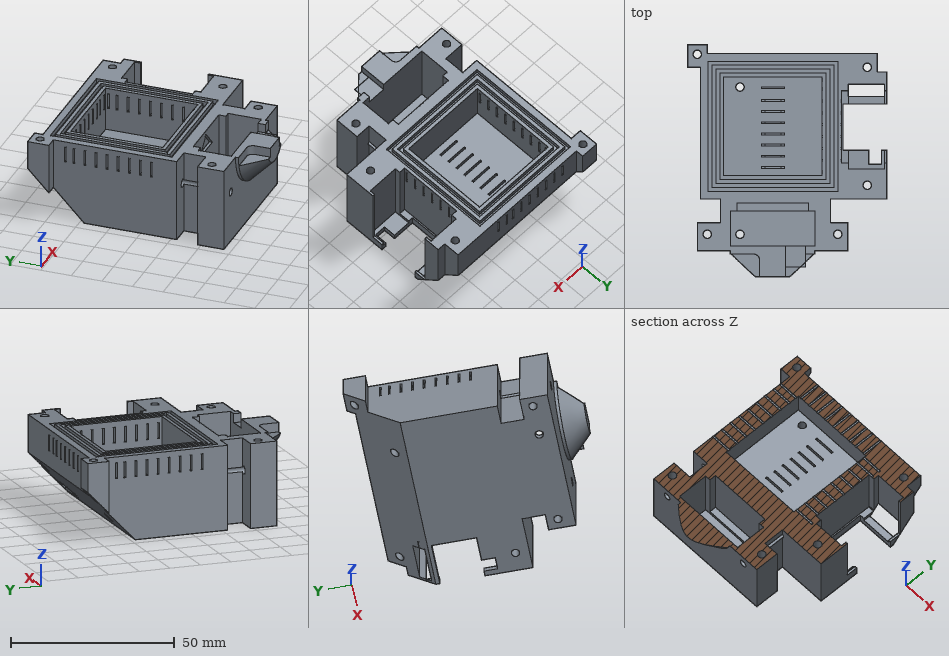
import cadquery as cq

length_x = 61.0
length_y = 71.0
height = 27.0

screw_d = 2.5

body_left = 3.9
body_front = 23.7
body_rear = 68.3
rear_step_x = 58.1
rear_step_y = 62.6
tab_right = 6.1
tab_front = 64.05
neck_left = 10.0
neck_right = 43.75
flange_left = 3.0
flange_right = 49.05
flange_front = 7.95
flange_rear = 16.55
bevel_start_y = 53.95
bevel_end_z = 17.75

chamber_x = 26.1
chamber_y = 46.0
chamber_size = 30.1
chamber_floor = 12.8
ridge_step = 1.2
groove_depth = 1.5

vent_width = 0.6
wall_vent_pitch = 3.6
side_vent_end = 48.3
side_vent_single_y = 60.15
side_vent_row_y = 32.0
side_vent_row_count = 8
rear_vent_pair_x = 36.6
rear_vent_pair_count = 2
rear_vent_row_x = 12.15
rear_vent_row_count = 7
wall_vent_height = 5.0
wall_vent_z = 22.6
floor_vent_pitch = 3.4
floor_vent_single_y = 57.8
floor_vent_row_y = 33.45
floor_vent_row_count = 7
floor_vent_length = 7.1
floor_vent_inner_length = 5.0
floor_vent_depth = 2.0

pocket_left = 13.2
pocket_right = 39.0
pocket_front = 9.4
pocket_rear = 20.15
recess_left = 15.1
recess_right = 37.05
recess_rear = 22.5
recess_floor = 3.0
floor_thickness = 2.0
triangle_base_z = 20.3
triangle_half_width = 5.3
triangle_depth = 1.0

bay_left = 47.1
bay_front = 34.85
bay_rear = 56.95
bay_floor = 3.0
guide_left = 49.2
guide_right = 60.2
guide_front = 33.0
guide_rear = 58.85
window_left = 47.6
window_front = 38.7
window_rear = 52.75
rear_opening_front = 55.2
notch_left = 55.45
notch_right = 59.3
notch_front = 34.4

plug_x = 26.0
plug_radius = 13.0
plug_tip_radius = 6.0
plug_cone_y = 6.95
bridge_left = 22.1
bridge_right = 29.95
shoulder_z = 24.0
shoulder_fillet = 2.0
gap_right = 36.15
gap_front = 3.0
ledge_thickness = 0.15

vertical_holes = [
    (3.0, 68.0),
    (54.95, 64.05),
    (54.95, 28.0),
    (6.0, 13.0),
    (45.95, 13.0),
    (16.05, 13.0),
    (16.05, 58.0),
]
front_hole_x = [9.0, 42.95]
front_hole_z = 17.0
front_hole_depth_in_body = 7.1


def block(x0, x1, y0, y1, z0, z1):
    """Box between two corners, given as limits along each axis."""
    return cq.Workplane("XY").box(x1 - x0, y1 - y0, z1 - z0, centered=False).translate((x0, y0, z0))


def square_prism(size, z0):
    """Square prism on the chamber axis, from z0 up to the top face."""
    return (
        cq.Workplane("XY", origin=(chamber_x, chamber_y, z0))
        .rect(size, size)
        .extrude(height - z0)
    )


def make_housing():
    body = block(body_left, length_x, body_front, body_rear, 0, height)
    body = body.cut(block(rear_step_x, length_x, rear_step_y, body_rear, 0, height))
    tab = block(0, tab_right, tab_front, length_y, 0, height)
    neck = block(neck_left, neck_right, flange_rear, body_front, 0, height)
    flange = block(flange_left, flange_right, flange_front, flange_rear, 0, height)
    bevel = (
        cq.Workplane("YZ")
        .polyline([(bevel_start_y, 0), (length_y, 0), (length_y, bevel_end_z)])
        .close()
        .extrude(length_x)
    )
    return body.union(tab).union(neck).union(flange).cut(bevel)


def make_plug():
    """Half of a stepped cone around Y, with lowered shoulders beside a central bridge."""
    profile = [
        (0, 0),
        (plug_tip_radius, 0),
        (plug_radius, plug_cone_y),
        (plug_radius, flange_front),
        (0, flange_front),
    ]
    cone = cq.Workplane("XY").polyline(profile).close().revolve(360, (0, 0, 0), (0, 1, 0))
    cone = cone.translate((plug_x, 0, height))
    lower_half = block(0, length_x, 0, flange_front, 0, height)
    plug = cone.intersect(lower_half)
    left = block(plug_x - plug_radius, bridge_left, 0, plug_cone_y, shoulder_z, height)
    right = block(bridge_right, plug_x + plug_radius, 0, plug_cone_y, shoulder_z, height)
    plug = plug.cut(left.edges("|Z and >X and >Y").fillet(shoulder_fillet))
    return plug.cut(right.edges("|Z and <X and >Y").fillet(shoulder_fillet))


def cut_gap(part):
    """Opening from the right shoulder through the rim into the pocket, over a thin ledge."""
    part = part.cut(block(bridge_right, gap_right, gap_front, pocket_front, shoulder_z, height))
    ledge_top = shoulder_z + ledge_thickness
    return part.union(block(bridge_right, gap_right, gap_front, pocket_front, shoulder_z, ledge_top))


def cut_chamber(part):
    part = part.cut(square_prism(chamber_size, chamber_floor))
    groove_floor = height - groove_depth
    for ridge_steps in (1, 3):
        inner = chamber_size + 2 * ridge_step * ridge_steps
        outer = inner + 2 * ridge_step
        part = part.cut(square_prism(outer, groove_floor).cut(square_prism(inner, groove_floor)))
    return part


def spaced(start, count, pitch):
    """Evenly spaced positions along one axis."""
    return [start + i * pitch for i in range(count)]


def cut_wall_vents(part):
    """Upright slots through the left, right and rear chamber walls."""
    z0 = wall_vent_z - wall_vent_height / 2
    z1 = wall_vent_z + wall_vent_height / 2
    half = vent_width / 2
    for y in spaced(side_vent_row_y, side_vent_row_count, wall_vent_pitch) + [side_vent_single_y]:
        part = part.cut(block(0, side_vent_end, y - half, y + half, z0, z1))
    rear_row = spaced(rear_vent_row_x, rear_vent_row_count, wall_vent_pitch)
    rear_pair = spaced(rear_vent_pair_x, rear_vent_pair_count, wall_vent_pitch)
    for x in rear_row + rear_pair:
        part = part.cut(block(x - half, x + half, chamber_y, length_y, z0, z1))
    return part


def floor_slot(length, y, top_z):
    """One floor slot, lying along X, cut down from top_z."""
    half = vent_width / 2
    left = chamber_x - length / 2
    right = chamber_x + length / 2
    return block(left, right, y - half, y + half, top_z - floor_vent_depth, top_z)


def cut_floor_vents(part):
    """Blind slots in the chamber floor; those of the row have a shorter lower step."""
    part = part.cut(floor_slot(floor_vent_length, floor_vent_single_y, chamber_floor))
    for y in spaced(floor_vent_row_y, floor_vent_row_count, floor_vent_pitch):
        part = part.cut(floor_slot(floor_vent_length, y, chamber_floor))
        part = part.cut(floor_slot(floor_vent_inner_length, y, chamber_floor - floor_vent_depth))
    return part


def cut_pocket(part):
    part = part.cut(block(pocket_left, pocket_right, pocket_front, pocket_rear, floor_thickness, height))
    part = part.cut(block(recess_left, recess_right, pocket_rear, recess_rear, recess_floor, height))
    triangle = (
        cq.Workplane("XZ", origin=(chamber_x, recess_rear, triangle_base_z))
        .polyline([(-triangle_half_width, 0), (triangle_half_width, 0), (0, triangle_half_width)])
        .close()
        .extrude(-triangle_depth)
    )
    return part.cut(triangle)


def cut_bay(part):
    part = part.cut(block(bay_left, length_x, bay_front, bay_rear, bay_floor, height))
    part = part.cut(block(guide_left, guide_right, guide_front, guide_rear, floor_thickness, height))
    part = part.cut(block(window_left, length_x, window_front, window_rear, 0, height))
    part = part.cut(block(guide_left, guide_right, rear_opening_front, guide_rear, 0, height))
    return part.cut(block(notch_left, notch_right, notch_front, window_front, 0, height))


def cut_screw_holes(part):
    vertical = cq.Workplane("XY").pushPoints(vertical_holes).circle(screw_d / 2).extrude(height)
    front_points = [(x, front_hole_z) for x in front_hole_x]
    reach = body_front + front_hole_depth_in_body
    front = cq.Workplane("XZ").pushPoints(front_points).circle(screw_d / 2).extrude(-reach)
    return part.cut(vertical).cut(front)


housing = make_housing().union(make_plug())
housing = cut_chamber(housing)
housing = cut_wall_vents(housing)
housing = cut_floor_vents(housing)
housing = cut_pocket(housing)
housing = cut_bay(housing)
housing = cut_screw_holes(housing)
result = cut_gap(housing)